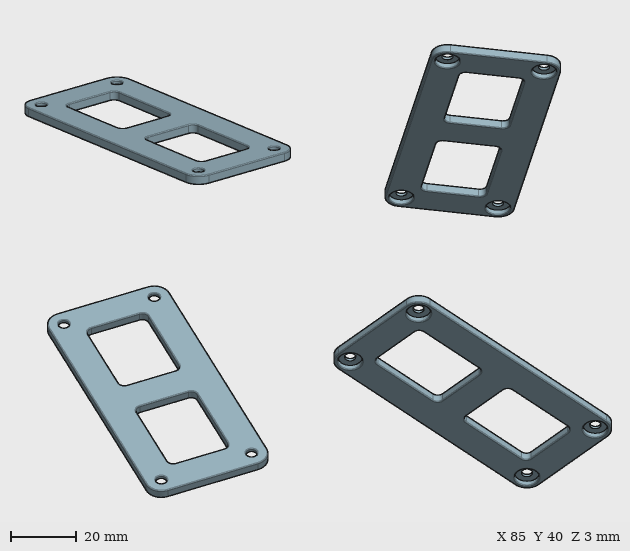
import cadquery as cq

length = 85.0
width = 40.0
thickness = 3.0
corner_radius = 5.0
edge_radius = 0.3

hole_diameter = 3.4
counterbore_diameter = 7.5
counterbore_depth = 1.8
hole_spacing_x = length - 2 * corner_radius
hole_spacing_y = width - 2 * corner_radius

window_length = 27.45
window_width = 20.15
window_corner_radius = 2.0
window_pitch = 37.6


def rounded_block(block_length, block_width, radius):
    """Block of plate thickness, standing on Z = 0, with rounded upright corners."""
    block = cq.Workplane("XY").box(block_length, block_width, thickness, centered=(True, True, False))
    return block.edges("|Z").fillet(radius)


def corner_cylinders(diameter, height):
    """Four upright cylinders rising from the bottom face, one at each mounting hole."""
    return (
        cq.Workplane("XY")
        .rect(hole_spacing_x, hole_spacing_y, forConstruction=True)
        .vertices()
        .circle(diameter / 2)
        .extrude(height)
    )


plate = rounded_block(length, width, corner_radius)
plate = plate.cut(corner_cylinders(hole_diameter, thickness))

for side in (-1, 1):
    window = rounded_block(window_length, window_width, window_corner_radius)
    plate = plate.cut(window.translate((side * window_pitch / 2, 0, 0)))

plate = plate.cut(corner_cylinders(counterbore_diameter, counterbore_depth))

result = plate.faces("<Z or >Z").edges().fillet(edge_radius)